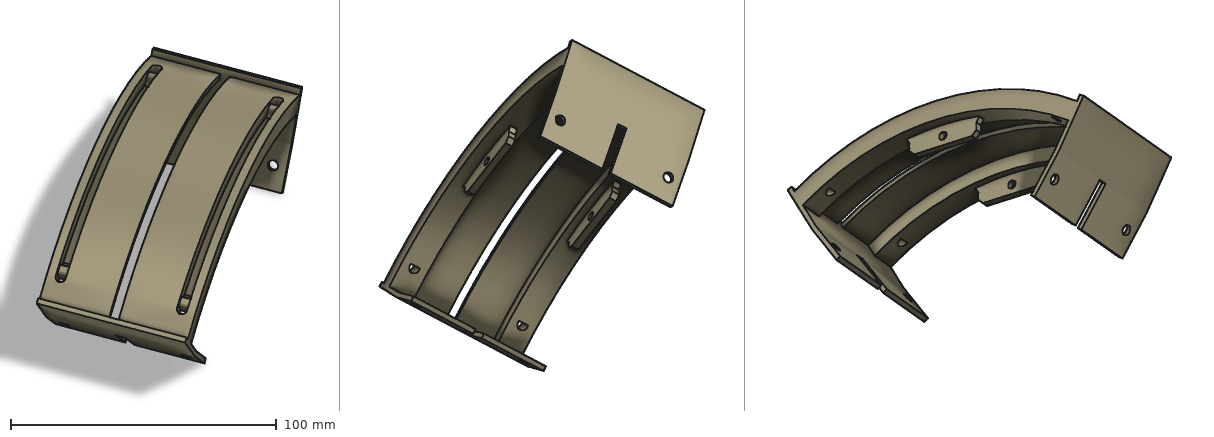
import cadquery as cq
import math

LENGTH = 134.4
WIDTH = 59.3
HEIGHT = 54.5

OUTER_RADIUS = 115.7
SKIN_THICKNESS = 2.0
RIB_DEPTH = 8.0
RIB_RADIUS = OUTER_RADIUS - RIB_DEPTH
ARCH_HALF_ANGLE = 45.0
GAP_WIDTH = 3.8

PLATE_THICKNESS = 2.0
PLATE_TOP_Z = 97.7
BEND_Z = 77.4
LEG_FOOT_Z = OUTER_RADIUS - HEIGHT
UPPER_ANGLE = 28.9
LEG_ANGLE = 34.1

CORD_X = 24.2
CORD_WIDTH = 4.0
SLOT_FLOOR_RADIUS = 110.0
CORD_HOLE_ANGLE = 28.4
LIP_TOP_RADIUS = 114.0
LIP_FILLET = 1.5
LIP_WIDTH = 4.3
LIP_SETBACK = 0.8
LEG_HOLE_Z = 69.2
RIB_WIDTH = WIDTH - 2 * CORD_X

TAB_OUTER_X = 24.7
TAB_THICKNESS = 3.0
TAB_WIDTH = 30.4
TAB_ROOT_WIDTH = 33.3
TAB_BOTTOM_Z = 98.9
TAB_SHOULDER_Z = 104.2
TAB_ROOT_Z = 106.3
TAB_CHAMFER = 2.0
TAB_HOLE_DIAMETER = 3.4
TAB_HOLE_Z = 103.0


def extrude_x(sketch, centre_x, width):
    """Extrude a closed YZ sketch symmetrically about the plane X = centre_x."""
    return sketch.extrude(width / 2, both=True).translate((centre_x, 0, 0))


def sector(inner_radius, outer_radius, half_angle):
    """Start a ring-sector sketch about the X axis, centred on +Z."""

    def at(radius, angle):
        return radius * math.sin(math.radians(angle)), radius * math.cos(math.radians(angle))

    return (
        cq.Workplane("YZ")
        .moveTo(*at(outer_radius, -half_angle))
        .threePointArc((0, outer_radius), at(outer_radius, half_angle))
        .lineTo(*at(inner_radius, half_angle))
        .threePointArc((0, inner_radius), at(inner_radius, -half_angle))
        .close()
    )


def mirrored_y(body):
    """Return the body together with its mirror image in the plane Y = 0."""
    return body.union(body.mirror("XZ"))


upper = math.radians(UPPER_ANGLE)
leg = math.radians(LEG_ANGLE)
upper_normal = (-math.cos(upper), math.sin(upper))
leg_normal = (-math.cos(leg), math.sin(leg))
top_y = LENGTH / 2
bend_y = top_y - (PLATE_TOP_Z - BEND_Z) * math.tan(upper)
foot_y = bend_y - (BEND_Z - LEG_FOOT_Z) * math.tan(leg)
bend_half_turn = (leg - upper) / 2
bend_middle = (leg + upper) / 2
mitre = PLATE_THICKNESS / math.cos(bend_half_turn)
top_inner = (top_y + PLATE_THICKNESS * upper_normal[0], PLATE_TOP_Z + PLATE_THICKNESS * upper_normal[1])
bend_inner = (bend_y - mitre * math.cos(bend_middle), BEND_Z + mitre * math.sin(bend_middle))
foot_inner = (foot_y + PLATE_THICKNESS * leg_normal[0], LEG_FOOT_Z + PLATE_THICKNESS * leg_normal[1])


def make_gap_cutter():
    """Cutter for the central gap along the whole length."""
    return cq.Workplane("XY").box(GAP_WIDTH, LENGTH, 3 * OUTER_RADIUS)


def make_end_plate():
    """Full-width upper plate, with a leg below the bend that is split in two by the gap."""
    bend_outer = (bend_y, BEND_Z)
    upper_outline = [(top_y, PLATE_TOP_Z), bend_outer, bend_inner, top_inner]
    leg_outline = [bend_outer, (foot_y, LEG_FOOT_Z), foot_inner, bend_inner]
    upper_plate = extrude_x(cq.Workplane("YZ").polyline(upper_outline).close(), 0, WIDTH)
    full_leg = extrude_x(cq.Workplane("YZ").polyline(leg_outline).close(), 0, WIDTH)
    return upper_plate.union(full_leg.cut(make_gap_cutter()))


def make_deck():
    """Thin arched skin split by the gap, with a deep rib under each long edge, ending at the plates."""
    deck = extrude_x(sector(OUTER_RADIUS - SKIN_THICKNESS, OUTER_RADIUS, ARCH_HALF_ANGLE), 0, WIDTH)
    deck = deck.cut(make_gap_cutter())
    for side in (-1, 1):
        rib = sector(RIB_RADIUS, OUTER_RADIUS, ARCH_HALF_ANGLE)
        deck = deck.union(extrude_x(rib, side * CORD_X, RIB_WIDTH))
    between_plates = [
        top_inner,
        bend_inner,
        (-bend_inner[0], bend_inner[1]),
        (-top_inner[0], top_inner[1]),
        (0, 2 * OUTER_RADIUS),
    ]
    return deck.intersect(extrude_x(cq.Workplane("YZ").polyline(between_plates).close(), 0, WIDTH))


def make_slot(x):
    """Cutter for a curved groove that ends, past a rounded lip, in a radial cord hole at each end."""
    groove = extrude_x(sector(SLOT_FLOOR_RADIUS, OUTER_RADIUS + 1.3, CORD_HOLE_ANGLE), x, CORD_WIDTH)
    end_round = cq.Workplane("XY").circle(CORD_WIDTH / 2).extrude(2 * RIB_DEPTH)
    end_round = end_round.translate((x, 0, RIB_RADIUS - RIB_DEPTH / 2))
    lip_end = -LIP_SETBACK
    lip_start = lip_end - LIP_WIDTH
    lip = (
        cq.Workplane("YZ")
        .moveTo(lip_end, RIB_RADIUS - RIB_DEPTH)
        .lineTo(lip_end, LIP_TOP_RADIUS - LIP_FILLET)
        .radiusArc((lip_end - LIP_FILLET, LIP_TOP_RADIUS), -LIP_FILLET)
        .lineTo(lip_start + LIP_FILLET, LIP_TOP_RADIUS)
        .radiusArc((lip_start, LIP_TOP_RADIUS - LIP_FILLET), -LIP_FILLET)
        .lineTo(lip_start, SLOT_FLOOR_RADIUS + LIP_FILLET)
        .radiusArc((lip_start - LIP_FILLET, SLOT_FLOOR_RADIUS), LIP_FILLET)
        .lineTo(lip_start - LIP_FILLET, RIB_RADIUS - RIB_DEPTH)
        .close()
    )
    lip = extrude_x(lip, x, CORD_WIDTH)
    passage = cq.Workplane("XY").box(CORD_WIDTH, LIP_SETBACK, 2 * RIB_DEPTH)
    passage = passage.translate((x, -LIP_SETBACK / 2, RIB_RADIUS + RIB_DEPTH / 2))

    def at_ends(body):
        return mirrored_y(body.rotate((0, 0, 0), (1, 0, 0), -CORD_HOLE_ANGLE))

    return groove.union(at_ends(end_round.union(passage))).cut(at_ends(lip))


def make_leg_hole(x):
    """Cutter for a cord hole square to each leg."""
    y = bend_y - (BEND_Z - LEG_HOLE_Z) * math.tan(leg)
    hole = cq.Workplane("XZ").circle(CORD_WIDTH / 2).extrude(2 * PLATE_THICKNESS, both=True)
    return mirrored_y(hole.rotate((0, 0, 0), (1, 0, 0), -LEG_ANGLE).translate((x, y, LEG_HOLE_Z)))


def make_tab(centre_x):
    """Hanging plate with chamfered lower corners and a root that flares into the rib."""
    half = TAB_WIDTH / 2
    right_side = [
        (half - TAB_CHAMFER, TAB_BOTTOM_Z),
        (half, TAB_BOTTOM_Z + TAB_CHAMFER),
        (half, TAB_SHOULDER_Z),
        (TAB_ROOT_WIDTH / 2, TAB_ROOT_Z),
    ]
    left_side = [(-y, z) for y, z in reversed(right_side)]
    buried_peak = (0, OUTER_RADIUS - RIB_DEPTH / 2)
    outline = cq.Workplane("YZ").polyline(right_side + [buried_peak] + left_side).close()
    hole = cq.Workplane("YZ").center(0, TAB_HOLE_Z).circle(TAB_HOLE_DIAMETER / 2)
    return extrude_x(outline, centre_x, TAB_THICKNESS).cut(extrude_x(hole, centre_x, TAB_THICKNESS))


result = make_deck().union(mirrored_y(make_end_plate()))
for side in (-1, 1):
    x = side * CORD_X
    result = result.union(make_tab(side * (TAB_OUTER_X - TAB_THICKNESS / 2)))
    result = result.cut(make_slot(x)).cut(make_leg_hole(x))